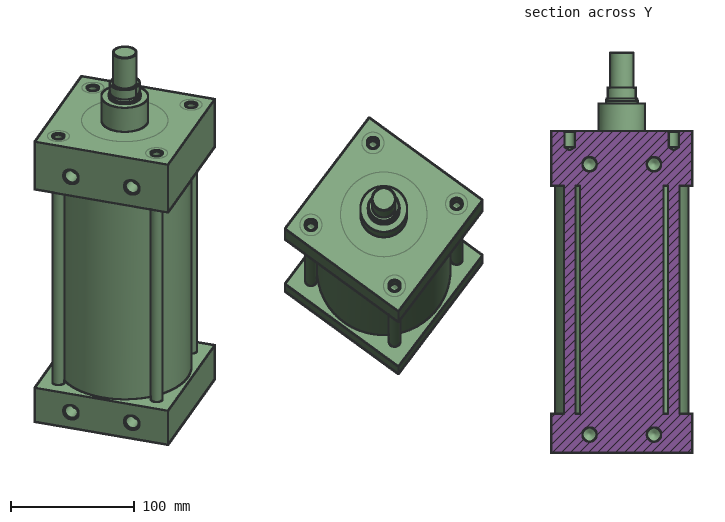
import cadquery as cq
import math

total_height = 324.0
block_width = 114.3
cap_height = 31.7
tube_height = 184.3
head_height = 44.5
nose_height = 22.5
head_bottom = cap_height + tube_height
head_top = head_bottom + head_height
nose_top = head_top + nose_height

tube_diameter = 108.2
tie_rod_diameter = 9.7
tie_rod_spacing = 84.2

nut_diameter = 17.8
nut_height = 19.5
nut_hole_diameter = 8.0
nut_hole_depth = 13.0
nut_hole_chamfer = 1.0

gland_diameter = 70.0
nose_diameter = 38.0
lip_base_diameter = 26.0
lip_base_height = 2.0
lip_cone_height = 2.0
lip_top = nose_top + lip_base_height + lip_cone_height

port_spacing = 52.0
port_diameter = 11.3
port_depth = 16.2
port_chamfer = 1.0
cap_port_z = 15.0
head_port_z = head_bottom + 17.5

rod_diameter = 24.3
rod_end_diameter = 19.0
rod_end_length = 28.5
rod_tip_chamfer = 0.5
flat_width = 22.7
shoulder_z = total_height - rod_end_length

drill_point_angle = 118.0


def cylinder(diameter, height, base_z):
    return cq.Workplane("XY", origin=(0, 0, base_z)).circle(diameter / 2).extrude(height)


def block(height, base_z):
    return cq.Workplane("XY", origin=(0, 0, base_z)).rect(block_width, block_width).extrude(height)


def at_tie_rods(shape):
    """Copies of a centred shape, moved to the four tie-rod axes."""
    reach = tie_rod_spacing / 2
    return [shape.translate((x, y, 0)) for x in (-reach, reach) for y in (-reach, reach)]


def drill(diameter, depth, chamfer):
    """Blind-hole cutter going down from Z = 0, with a mouth chamfer and a drill point."""
    radius = diameter / 2
    point_depth = radius / math.tan(math.radians(drill_point_angle / 2))
    return (
        cq.Workplane("XZ")
        .moveTo(0, 0)
        .lineTo(radius + chamfer, 0)
        .lineTo(radius, -chamfer)
        .lineTo(radius, -depth)
        .lineTo(0, -depth - point_depth)
        .close()
        .revolve(360, (0, 0, 0), (0, 1, 0))
    )


def make_gland():
    """Flush disc, nose and wiper lip, standing on the tube's top end."""
    return (
        cq.Workplane("XZ")
        .moveTo(0, head_bottom)
        .lineTo(gland_diameter / 2, head_bottom)
        .lineTo(gland_diameter / 2, head_top)
        .lineTo(nose_diameter / 2, head_top)
        .lineTo(nose_diameter / 2, nose_top)
        .lineTo(lip_base_diameter / 2, nose_top)
        .lineTo(lip_base_diameter / 2, nose_top + lip_base_height)
        .lineTo(rod_diameter / 2, lip_top)
        .lineTo(0, lip_top)
        .close()
        .revolve(360, (0, 0, 0), (0, 1, 0))
    )


def make_housing():
    body = block(cap_height, 0).union(cylinder(tube_diameter, tube_height, cap_height))
    for tie_rod in at_tie_rods(cylinder(tie_rod_diameter, tube_height, cap_height)):
        body = body.union(tie_rod)
    body = body.union(block(head_height, head_bottom))

    body = body.cut(cylinder(gland_diameter, head_height, head_bottom))
    body = body.union(make_gland(), clean=False)
    nut = cylinder(nut_diameter, nut_height, head_top - nut_height)
    for placed_nut in at_tie_rods(nut):
        body = body.cut(placed_nut, clean=False).union(placed_nut, clean=False)

    nut_hole = drill(nut_hole_diameter, nut_hole_depth, nut_hole_chamfer).translate((0, 0, head_top))
    for placed_hole in at_tie_rods(nut_hole):
        body = body.cut(placed_hole, clean=False)

    port = drill(port_diameter, port_depth, port_chamfer).rotate((0, 0, 0), (1, 0, 0), 90)
    for x in (-port_spacing / 2, port_spacing / 2):
        for z in (cap_port_z, head_port_z):
            body = body.cut(port.translate((x, -block_width / 2, z)), clean=False)

    return body.cut(cylinder(rod_diameter, lip_top - head_bottom, head_bottom), clean=False)


def make_piston_rod():
    rod = cylinder(rod_diameter, shoulder_z - head_bottom, head_bottom)
    rod_end = cylinder(rod_end_diameter, rod_end_length, shoulder_z)
    rod = rod.union(rod_end.faces(">Z").chamfer(rod_tip_chamfer))
    flat_length = shoulder_z - lip_top
    flat_zone = cylinder(rod_diameter, flat_length, lip_top)
    between_flats = (
        cq.Workplane("XY", origin=(0, 0, lip_top)).rect(flat_width, rod_diameter).extrude(flat_length)
    )
    return rod.cut(flat_zone.cut(between_flats))


housing = make_housing()
piston_rod = make_piston_rod()

result = cq.Compound.makeCompound([housing.solids().val(), piston_rod.solids().val()])